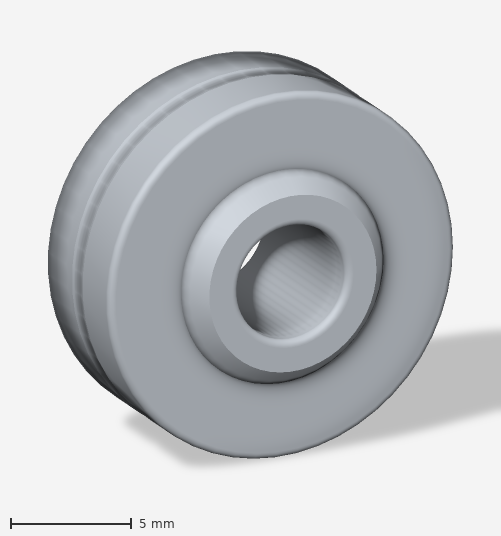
import cadquery as cq

outer_diameter = 16.0
ring_width = 6.0
ring_edge_radius = 0.3

groove_width = 1.0
groove_depth = 0.072

ball_diameter = 11.12
ball_width = 8.0
bore_diameter = 5.0
bore_edge_radius = 0.3


def cylinder_on_x(diameter, length):
    """Solid cylinder along X, centred on the origin."""
    return cq.Workplane("YZ").circle(diameter / 2).extrude(length / 2, both=True)


def make_sphere():
    """Full sphere about the origin, revolved about the X axis."""
    radius = ball_diameter / 2
    return (
        cq.Workplane("XY")
        .moveTo(-radius, 0)
        .threePointArc((0, radius), (radius, 0))
        .close()
        .revolve(360, (0, 0, 0), (1, 0, 0))
    )


def make_groove_cutter():
    """Ring of material with a shallow circular-arc bottom, around the middle of the outer ring."""
    rim = outer_diameter / 2
    clearance = groove_width
    return (
        cq.Workplane("XY")
        .moveTo(-groove_width / 2, rim)
        .threePointArc((0, rim - groove_depth), (groove_width / 2, rim))
        .lineTo(groove_width / 2, rim + clearance)
        .lineTo(-groove_width / 2, rim + clearance)
        .close()
        .revolve(360, (0, 0, 0), (1, 0, 0))
    )


def make_outer_ring():
    """Rounded ring with a spherical seat for the ball and a groove around its rim."""
    ring = cylinder_on_x(outer_diameter, ring_width).edges().fillet(ring_edge_radius)
    return ring.cut(make_groove_cutter()).cut(make_sphere())


def make_ball():
    """Sphere cut flat at both ends, with a through bore whose edges are rounded."""
    ball = make_sphere().intersect(cylinder_on_x(ball_diameter, ball_width))
    bored = ball.cut(cylinder_on_x(bore_diameter, ball_width))
    bore_edges = cq.selectors.RadiusNthSelector(0)
    return bored.faces("<X or >X").edges(bore_edges).fillet(bore_edge_radius)


outer_ring = make_outer_ring()
ball = make_ball()
result = cq.Compound.makeCompound([outer_ring.val(), ball.val()])